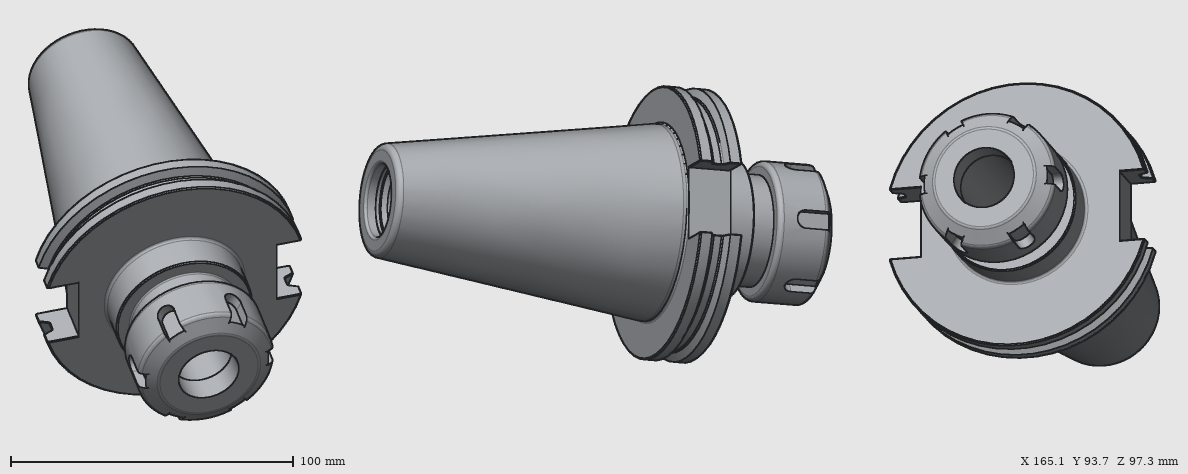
import cadquery as cq
import math


TAPER_LARGE_DIA = 70.2
TAPER_LENGTH = 102.5
TAPER_RATIO = 7 / 24
TAPER_SMALL_DIA = TAPER_LARGE_DIA - TAPER_RATIO * TAPER_LENGTH
TAPER_END_FILLET = 2.5

FLANGE_DIA = 97.3
FLANGE_START = 104.5
FLANGE_WIDTH = 15.9
FLANGE_END = FLANGE_START + FLANGE_WIDTH
FLANGE_CHAMFER = 0.5
TAPER_ROOT_FILLET = 0.7
COLLAR_ROOT_FILLET = 1.0
GROOVE_DIA = 90.5
GROOVE_CENTER = 112.5
GROOVE_FLOOR_WIDTH = 3.6
GROOVE_MOUTH_WIDTH = 7.0
GROOVE_FILLET = 0.7

SLOT_WIDTH = 25.6
SLOT_FLOOR_FRONT = 35.2
SLOT_FLOOR_BACK = 37.6
SLOT_EDGE_CHAMFER = 0.3

COLLAR_DIA = 50.0
COLLAR_END = 133.4
COLLAR_CHAMFER = 0.5
NECK_DIA = 40.0
NECK_ROOT_FILLET = 0.5

BORE_DIA = 22.1
BORE_START = 8.0
PILOT_DIA = 26.3
PILOT_END = 6.3
PILOT_MOUTH_FILLET = 1.0
RELIEF_DIA = 26.7
RELIEF_START = 4.3
RELIEF_END = 5.8

OVERALL_LENGTH = 165.1
NUT_DIA = COLLAR_DIA
NUT_START = 142.5
NUT_FILLET = 2.0
NUT_NOSE_DIA = 37.2
NUT_NOSE_HALF_ANGLE = 60
NUT_NOSE_LENGTH = (NUT_DIA - NUT_NOSE_DIA) / 2 / math.tan(math.radians(NUT_NOSE_HALF_ANGLE))
NUT_NOSE_START = OVERALL_LENGTH - NUT_NOSE_LENGTH
NUT_RECESS_DEPTH = 13.2
NUT_RECESS_END = NUT_START + NUT_RECESS_DEPTH

WRENCH_SLOT_COUNT = 6
WRENCH_SLOT_WIDTH = 6.6
WRENCH_SLOT_START = 149.6
WRENCH_SLOT_END = 162.8
WRENCH_SLOT_FLOOR = 21.3


def cylinder(diameter, start, end):
    """Cylinder on the X axis between two X positions."""
    return cq.Workplane("YZ").workplane(offset=start).circle(diameter / 2).extrude(end - start)


def cone(start_dia, end_dia, start, end):
    """Frustum on the X axis between two X positions."""
    outline = [(start, 0), (start, start_dia / 2), (end, end_dia / 2), (end, 0)]
    return cq.Workplane("XY").polyline(outline).close().revolve(360, (0, 0, 0), (1, 0, 0))


def root_fillet(diameter, face, direction, radius):
    """Concave ring filling the corner between a cylinder and a flat face; it grows along X in the direction."""
    root = diameter / 2
    sag = radius * (1 - math.sqrt(0.5))
    ring = (
        cq.Workplane("XY")
        .moveTo(face, root)
        .lineTo(face, root + radius)
        .threePointArc((face + direction * sag, root + sag), (face + direction * radius, root))
        .close()
    )
    return ring.revolve(360, (0, 0, 0), (1, 0, 0))


def make_shank():
    shank = cone(TAPER_SMALL_DIA, TAPER_LARGE_DIA, 0, TAPER_LENGTH).faces("<X").edges().fillet(TAPER_END_FILLET)
    shank = shank.union(cylinder(TAPER_LARGE_DIA, TAPER_LENGTH, FLANGE_START))
    return shank.union(root_fillet(TAPER_LARGE_DIA, FLANGE_START, -1, TAPER_ROOT_FILLET))


def make_groove():
    """V-groove ring with rounded floor corners, to be cut from the flange rim."""
    half_floor = GROOVE_FLOOR_WIDTH / 2
    half_mouth = GROOVE_MOUTH_WIDTH / 2
    outline = [
        (GROOVE_CENTER - half_floor, GROOVE_DIA / 2),
        (GROOVE_CENTER - half_mouth, FLANGE_DIA / 2),
        (GROOVE_CENTER + half_mouth, FLANGE_DIA / 2),
        (GROOVE_CENTER + half_floor, GROOVE_DIA / 2),
    ]
    groove = cq.Workplane("XY").polyline(outline).close().revolve(360, (0, 0, 0), (1, 0, 0))
    floor_edges = groove.edges(cq.selectors.RadiusNthSelector(0))
    return floor_edges.fillet(GROOVE_FILLET)


def is_outer_slot_edge(edge):
    """True for the slot wall edges that do not lie along a slot floor."""
    return abs(edge.Center().y) > max(SLOT_FLOOR_FRONT, SLOT_FLOOR_BACK) + SLOT_EDGE_CHAMFER


def make_flange():
    flange = cylinder(FLANGE_DIA, FLANGE_START, FLANGE_END).edges("%CIRCLE").chamfer(FLANGE_CHAMFER)
    flange = flange.cut(make_groove())
    for side, floor in ((-1, SLOT_FLOOR_FRONT), (1, SLOT_FLOOR_BACK)):
        depth = FLANGE_DIA / 2 - floor
        slot = cq.Workplane("XY").box(FLANGE_WIDTH, depth, SLOT_WIDTH)
        flange = flange.cut(slot.translate((FLANGE_START + FLANGE_WIDTH / 2, side * (floor + depth / 2), 0)))
    return flange.faces("|Z").edges().filter(is_outer_slot_edge).chamfer(SLOT_EDGE_CHAMFER)


def make_collar_and_neck():
    collar = cylinder(COLLAR_DIA, FLANGE_END, COLLAR_END).faces(">X").edges().chamfer(COLLAR_CHAMFER)
    neck = cylinder(NECK_DIA, COLLAR_END, NUT_RECESS_END)
    return (
        collar.union(neck)
        .union(root_fillet(COLLAR_DIA, FLANGE_END, 1, COLLAR_ROOT_FILLET))
        .union(root_fillet(NECK_DIA, COLLAR_END, 1, NECK_ROOT_FILLET))
    )


def cut_bore(body):
    """Through bore with a wider pilot at the small end, a relief ring in the pilot and a rounded mouth."""
    body = body.cut(cylinder(BORE_DIA, 0, NUT_RECESS_END))
    body = body.cut(cone(PILOT_DIA, BORE_DIA, PILOT_END, BORE_START))
    body = body.cut(cylinder(PILOT_DIA, 0, PILOT_END))
    body = body.faces("<X").edges(cq.selectors.RadiusNthSelector(0)).fillet(PILOT_MOUTH_FILLET)
    return body.cut(cylinder(RELIEF_DIA, RELIEF_START, RELIEF_END))


def make_holder():
    return cut_bore(make_shank().union(make_flange()).union(make_collar_and_neck()))


def make_wrench_slots():
    """Flat-floored cutters with a round end toward the flange and a square end behind the nose."""
    length = WRENCH_SLOT_END - WRENCH_SLOT_START
    depth = NUT_DIA / 2 - WRENCH_SLOT_FLOOR
    radius = WRENCH_SLOT_WIDTH / 2
    cutter = (
        cq.Workplane("XZ", origin=(WRENCH_SLOT_START, -WRENCH_SLOT_FLOOR, 0))
        .moveTo(radius, radius)
        .threePointArc((0, 0), (radius, -radius))
        .lineTo(length, -radius)
        .lineTo(length, radius)
        .close()
        .extrude(depth)
    )
    step = 360 / WRENCH_SLOT_COUNT
    return [cutter.rotate((0, 0, 0), (1, 0, 0), i * step) for i in range(WRENCH_SLOT_COUNT)]


def make_nut():
    nut = cylinder(NUT_DIA, NUT_START, NUT_NOSE_START)
    nut = nut.union(cone(NUT_DIA, NUT_NOSE_DIA, NUT_NOSE_START, OVERALL_LENGTH))
    nut = nut.edges("%CIRCLE").fillet(NUT_FILLET)
    nut = nut.cut(cylinder(NECK_DIA, NUT_START, NUT_RECESS_END))
    nut = nut.cut(cylinder(BORE_DIA, NUT_RECESS_END, OVERALL_LENGTH))
    for slot in make_wrench_slots():
        nut = nut.cut(slot)
    return nut


holder = make_holder()
nut = make_nut()
result = cq.Compound.makeCompound([holder.val(), nut.val()])